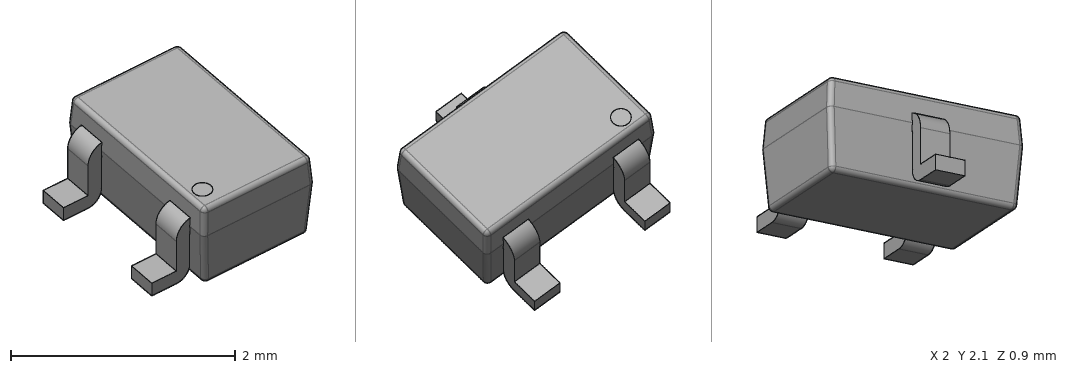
import cadquery as cq
import math

BODY_LENGTH = 2.0
BODY_WIDTH = 1.25
BODY_HEIGHT = 0.9
PARTING_HEIGHT = 0.6
DRAFT_ANGLE = 4.0
EDGE_RADIUS = 0.05

LEAD_SPAN = 2.1
LEAD_WIDTH = 0.3
LEAD_THICKNESS = 0.15
LEAD_TOP = 0.7
LEAD_PITCH = 1.3
LEAD_SHANK_FACE = BODY_WIDTH / 2 + LEAD_THICKNESS
LEAD_BEND_RADIUS = 0.2
LEAD_HEEL_RADIUS = 0.15
LEAD_ROOT = 0.4

MARK_DIAMETER = 0.185
MARK_DEPTH = 0.002
MARK_X = 0.745
MARK_Y = -0.44


def tapered_half(height):
    """Half of the body, narrowing by the draft angle away from the parting line."""
    half = (
        cq.Workplane("XY")
        .rect(BODY_LENGTH, BODY_WIDTH)
        .extrude(height, taper=DRAFT_ANGLE)
    )
    return half.edges("not <Z").fillet(EDGE_RADIUS)


def make_body():
    """Two drafted, rounded halves joined at the parting line."""
    upper = tapered_half(BODY_HEIGHT - PARTING_HEIGHT)
    lower = tapered_half(PARTING_HEIGHT).mirror("XY")
    return upper.union(lower).translate((0, 0, PARTING_HEIGHT))


def make_lead(x_centre):
    """Gull-wing lead whose foot points towards +Y."""
    tip = LEAD_SPAN / 2
    shank_inside = LEAD_SHANK_FACE - LEAD_THICKNESS
    bend_y = LEAD_SHANK_FACE - LEAD_BEND_RADIUS
    bend_z = LEAD_TOP - LEAD_BEND_RADIUS
    inner_radius = LEAD_BEND_RADIUS - LEAD_THICKNESS
    diagonal = math.sqrt(0.5)
    heel_y = shank_inside + LEAD_HEEL_RADIUS
    heel_offset = LEAD_HEEL_RADIUS * (1 - diagonal)
    profile = (
        cq.Workplane("YZ")
        .moveTo(LEAD_ROOT, LEAD_TOP)
        .lineTo(bend_y, LEAD_TOP)
        .threePointArc(
            (bend_y + LEAD_BEND_RADIUS * diagonal, bend_z + LEAD_BEND_RADIUS * diagonal),
            (LEAD_SHANK_FACE, bend_z),
        )
        .lineTo(LEAD_SHANK_FACE, LEAD_THICKNESS)
        .lineTo(tip, LEAD_THICKNESS)
        .lineTo(tip, 0)
        .lineTo(heel_y, 0)
        .threePointArc(
            (shank_inside + heel_offset, heel_offset),
            (shank_inside, LEAD_HEEL_RADIUS),
        )
        .lineTo(shank_inside, bend_z)
        .threePointArc(
            (bend_y + inner_radius * diagonal, bend_z + inner_radius * diagonal),
            (bend_y, bend_z + inner_radius),
        )
        .lineTo(LEAD_ROOT, LEAD_TOP - LEAD_THICKNESS)
        .close()
    )
    return profile.extrude(LEAD_WIDTH / 2, both=True).translate((x_centre, 0, 0))


def make_mark():
    """Shallow round recess in the top face beside pin 1."""
    return (
        cq.Workplane("XY", origin=(MARK_X, MARK_Y, BODY_HEIGHT - MARK_DEPTH))
        .circle(MARK_DIAMETER / 2)
        .extrude(MARK_DEPTH)
    )


result = make_body().union(make_lead(0))
for side in (-1, 1):
    front_lead = make_lead(side * LEAD_PITCH / 2).mirror("XZ")
    result = result.union(front_lead)
result = result.cut(make_mark())